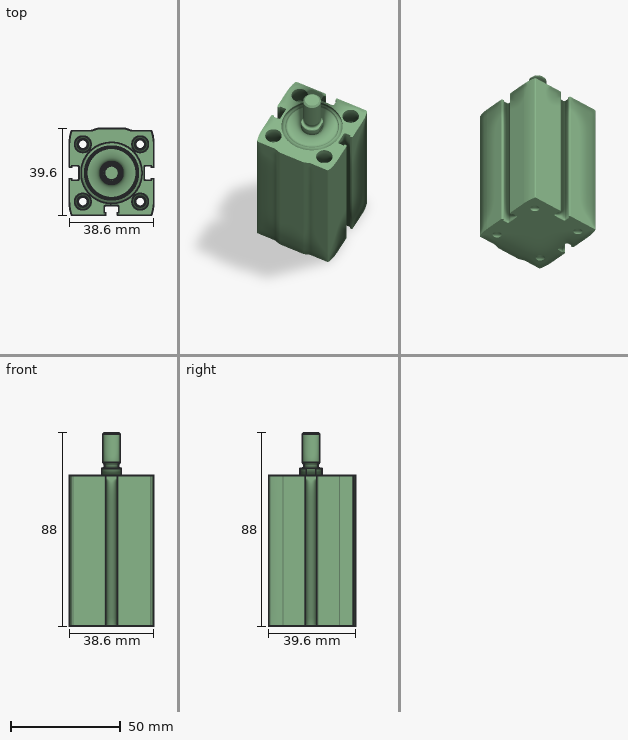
import cadquery as cq
import math

total_height = 88.0
housing_height = 68.55

half_size = 19.3
side_flat_half = 12.8
corner_half_width = 18.2
corner_radius = 0.7
pad_height = 1.0
pad_top_half = 6.2
pad_base_half = 9.0
pad_blend_radius = 2.2

slot_opening = 5.1
slot_width = 6.5
slot_floor = 14.9
slot_lip_back = 18.0
slot_floor_radius = 0.6
slot_mouth_radius = 0.5

hole_offset = 13.0
hole_dia = 4.2
counterbore_dia = 7.5
counterbore_depth = 8.8
countersink_dia = 4.9

seat_dia = 27.8
cap_rim_dia = 24.5
seat_depth = 1.1

groove_outer_dia = cap_rim_dia
groove_floor_dia = 23.9
groove_bevel_dia = 23.2
groove_inner_dia = 22.5
groove_depth = 0.5
groove_bevel_depth = 0.2

rod_dia = 10.0
rod_insertion = rod_dia
bore_chamfer = 0.2
shoulder_top = 71.9
shoulder_chamfer = 0.3
flat_width = 9.0
thread_dia = 8.0
thread_bottom = 74.45
thread_chamfer = 0.8
neck_dia = 6.4
neck_foot_radius = 0.6
neck_top_radius = 0.35


def side_arc_middle():
    """Middle of the arc that leaves the side flat tangentially and ends at the corner."""
    inset = half_size - corner_half_width
    rise = half_size - side_flat_half
    radius = (inset**2 + rise**2) / (2 * inset)
    half_angle = math.asin(rise / radius) / 2
    return (
        half_size - radius * (1 - math.cos(half_angle)),
        side_flat_half + radius * math.sin(half_angle),
    )


def housing_outline():
    """Closed outline of the extruded housing, without slots and corner rounding."""
    arc_x, arc_y = side_arc_middle()
    return (
        cq.Workplane("XY")
        .moveTo(-corner_half_width, -half_size)
        .lineTo(corner_half_width, -half_size)
        .threePointArc((arc_x, -arc_y), (half_size, -side_flat_half))
        .lineTo(half_size, side_flat_half)
        .threePointArc((arc_x, arc_y), (corner_half_width, half_size))
        .lineTo(pad_base_half, half_size)
        .lineTo(pad_top_half, half_size + pad_height)
        .lineTo(-pad_top_half, half_size + pad_height)
        .lineTo(-pad_base_half, half_size)
        .lineTo(-corner_half_width, half_size)
        .threePointArc((-arc_x, arc_y), (-half_size, side_flat_half))
        .lineTo(-half_size, -side_flat_half)
        .threePointArc((-arc_x, -arc_y), (-corner_half_width, -half_size))
        .close()
    )


def vertical_edges_at(body, points):
    """Vertical edges of the body that stand on the given XY points."""
    reach = 0.04
    selector = None
    for x, y in points:
        box = cq.selectors.BoxSelector(
            (x - reach, y - reach, -reach),
            (x + reach, y + reach, housing_height + reach),
            boundingbox=True,
        )
        selector = box if selector is None else selector + box
    return body.edges(selector)


def make_slot(angle):
    """T-slot cutter with a rounded mouth, turned about Z from the -Y side."""
    half_opening = slot_opening / 2
    half_slot = slot_width / 2
    half_mouth = half_opening + slot_mouth_radius
    arc_inset = slot_mouth_radius * (1 - math.sqrt(0.5))
    arc_x = half_opening + arc_inset
    arc_y = -half_size + arc_inset
    lip_front = -half_size + slot_mouth_radius
    return (
        cq.Workplane("XY")
        .moveTo(-half_mouth, -half_size)
        .threePointArc((-arc_x, arc_y), (-half_opening, lip_front))
        .lineTo(-half_opening, -slot_lip_back)
        .lineTo(-half_slot, -slot_lip_back)
        .lineTo(-half_slot, -slot_floor)
        .lineTo(half_slot, -slot_floor)
        .lineTo(half_slot, -slot_lip_back)
        .lineTo(half_opening, -slot_lip_back)
        .lineTo(half_opening, lip_front)
        .threePointArc((arc_x, arc_y), (half_mouth, -half_size))
        .close()
        .extrude(housing_height)
        .edges("|Z and >Y")
        .fillet(slot_floor_radius)
        .rotate((0, 0, 0), (0, 0, 1), angle)
    )


def make_mounting_hole(x, y):
    """Cutter for a through hole with a counterbore and a small countersink in its floor."""
    hole_radius = hole_dia / 2
    sink_radius = countersink_dia / 2
    floor = housing_height - counterbore_depth
    return (
        cq.Workplane("XZ")
        .lineTo(hole_radius, 0)
        .lineTo(hole_radius, floor - (sink_radius - hole_radius))
        .lineTo(sink_radius, floor)
        .lineTo(counterbore_dia / 2, floor)
        .lineTo(counterbore_dia / 2, housing_height)
        .lineTo(0, housing_height)
        .close()
        .revolve(360, (0, 0, 0), (0, 1, 0))
        .translate((x, y, 0))
    )


def make_cap_seat():
    """Ring cutter between the seat wall and the sloped rim of the bearing cap."""
    return (
        cq.Workplane("XZ")
        .moveTo(cap_rim_dia / 2, housing_height)
        .lineTo(seat_dia / 2, housing_height - seat_depth)
        .lineTo(seat_dia / 2, housing_height)
        .close()
        .revolve(360, (0, 0, 0), (0, 1, 0))
    )


def make_ring_groove():
    """Shallow groove in the cap face; its inner wall has a bevelled top edge."""
    return (
        cq.Workplane("XZ")
        .moveTo(groove_outer_dia / 2, housing_height)
        .lineTo(groove_floor_dia / 2, housing_height - groove_depth)
        .lineTo(groove_bevel_dia / 2, housing_height - groove_bevel_depth)
        .lineTo(groove_inner_dia / 2, housing_height)
        .close()
        .revolve(360, (0, 0, 0), (0, 1, 0))
    )


def make_rod_bore():
    """Cutter for the blind bore that holds the rod, with a chamfered mouth."""
    radius = rod_dia / 2
    bottom = housing_height - rod_insertion
    return (
        cq.Workplane("XZ")
        .moveTo(0, bottom)
        .lineTo(radius, bottom)
        .lineTo(radius, housing_height - bore_chamfer)
        .lineTo(radius + bore_chamfer, housing_height)
        .lineTo(0, housing_height)
        .close()
        .revolve(360, (0, 0, 0), (0, 1, 0))
    )


def make_housing():
    """Housing with slots, mounting holes and the rod bore; the bearing cap is part of it."""
    body = housing_outline().extrude(housing_height)
    corners = [(sx * corner_half_width, sy * half_size) for sx in (-1, 1) for sy in (-1, 1)]
    body = vertical_edges_at(body, corners).fillet(corner_radius)
    pad_ends = [
        (side * x, y)
        for side in (-1, 1)
        for x, y in ((pad_base_half, half_size), (pad_top_half, half_size + pad_height))
    ]
    body = vertical_edges_at(body, pad_ends).fillet(pad_blend_radius)

    for angle in (0, 90, -90):
        body = body.cut(make_slot(angle))
    for x in (-hole_offset, hole_offset):
        for y in (-hole_offset, hole_offset):
            body = body.cut(make_mounting_hole(x, y))
    return body.cut(make_cap_seat()).cut(make_ring_groove()).cut(make_rod_bore())


def make_wrench_flat(side):
    """Cutter for one flat of the rod; its lower end slopes out to the rod surface."""
    inner = flat_width / 2
    outer = rod_dia / 2
    slope = outer - inner
    return (
        cq.Workplane("XZ")
        .moveTo(side * inner, housing_height)
        .lineTo(side * outer, housing_height - slope)
        .lineTo(side * outer, shoulder_top)
        .lineTo(side * inner, shoulder_top)
        .close()
        .extrude(rod_dia / 2, both=True)
    )


def make_rod():
    """Piston rod with shoulder, neck, plain thread cylinder and two wrench flats."""
    neck = neck_dia / 2
    thread = thread_dia / 2
    shoulder = rod_dia / 2
    bottom = housing_height - rod_insertion
    neck_top = thread_bottom - (thread - neck)
    blend_run = neck_top_radius * math.tan(math.radians(45) / 2)
    cone_run = blend_run * math.sqrt(0.5)
    foot_inset = neck_foot_radius * (1 - math.sqrt(0.5))
    profile = (
        cq.Workplane("XZ")
        .moveTo(0, bottom)
        .lineTo(shoulder, bottom)
        .lineTo(shoulder, shoulder_top - shoulder_chamfer)
        .lineTo(shoulder - shoulder_chamfer, shoulder_top)
        .lineTo(neck + neck_foot_radius, shoulder_top)
        .threePointArc(
            (neck + foot_inset, shoulder_top + foot_inset),
            (neck, shoulder_top + neck_foot_radius),
        )
        .lineTo(neck, neck_top - blend_run)
        .tangentArcPoint((neck + cone_run, neck_top + cone_run), relative=False)
        .lineTo(thread, thread_bottom)
        .lineTo(thread, total_height - thread_chamfer)
        .lineTo(thread - thread_chamfer, total_height)
        .lineTo(0, total_height)
        .close()
    )
    rod = profile.revolve(360, (0, 0, 0), (0, 1, 0))
    for side in (-1, 1):
        rod = rod.cut(make_wrench_flat(side))
    return rod


housing = make_housing()
piston_rod = make_rod()
result = cq.Compound.makeCompound([housing.solids().val(), piston_rod.solids().val()])